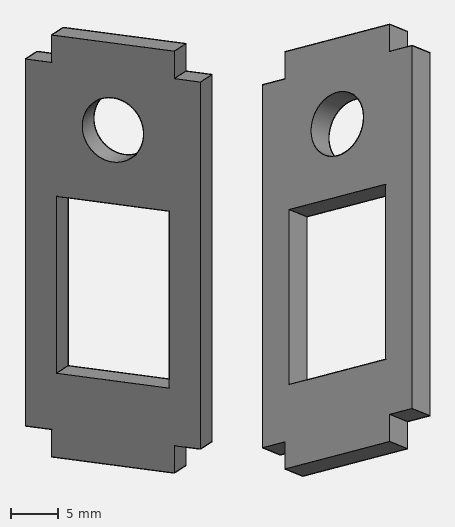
import cadquery as cq

width = 20.0
thickness = 3.0
height = 46
corner_notch = thickness

hole_diameter = 7.0
hole_drop = 9.48

window_width = 12.9
window_height = 19.27
window_rise = 9.2

hole_z = height / 2 - hole_drop
window_z = -height / 2 + window_rise + window_height / 2

body = cq.Workplane("XY").box(width, thickness, height - 2 * corner_notch)
tabs = cq.Workplane("XY").box(width - 2 * corner_notch, thickness, height)
plate = body.union(tabs)

hole = (
    cq.Workplane("XZ", origin=(0, thickness / 2, 0))
    .center(0, hole_z)
    .circle(hole_diameter / 2)
    .extrude(thickness)
)
window = (
    cq.Workplane("XY")
    .box(window_width, 2 * thickness, window_height)
    .translate((0, 0, window_z))
)

result = plate.cut(hole).cut(window)